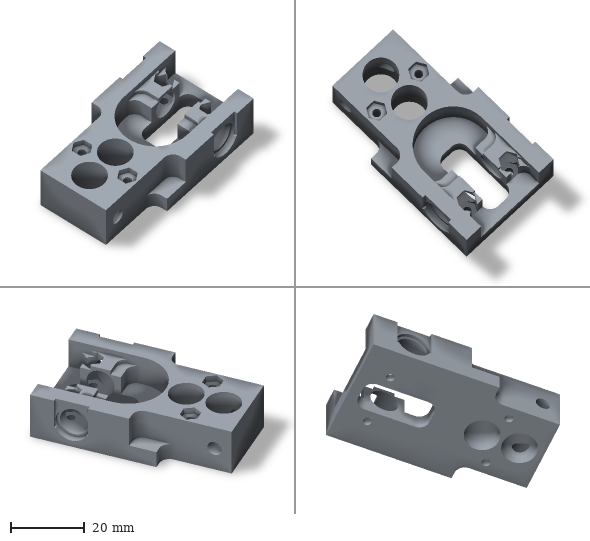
import cadquery as cq

width = 33.0
length = 57.0
height = 14.0
mid_height = height / 2
ledge_height = 5.0
corner_radius = 3.0

nose_width = 23.0
lower_shoulder_y = 20.0
upper_shoulder_y = 28.0

channel_width = 22.0
channel_front_y = 24.0
channel_radius = channel_width / 2
channel_center_y = channel_front_y + channel_radius

saddle_y = 45.0
saddle_length = 11.95
saddle_top = 10.7
crest_length = 6.0
crest_top = 12.1
saddle_flare_width = 22.2

slot_width = 9.0
slot_length = 21.0
slot_center_y = 43.4

bore_diameter = 8.2
seat_diameter = 10.0
seat_depth = 2.0
notch_depth = 1.0

nose_hole_diameter = 10.0
nose_hole_ys = (7.0, 18.0)
tip_hole_diameter = 4.2
tip_hole_y = 5.0

screw_diameter = 2.4
screw_x = 8.0
nut_across_corners = 5.9
rear_screw_y = 48.5
front_screw_y = 13.5
rear_nut_floor = 3.0
front_nut_floor = 12.0


def box(size_x, y_start, y_end, z_start, z_end):
    """Box centred on X = 0 between the given Y and Z limits."""
    return cq.Workplane("XY").box(
        size_x, y_end - y_start, z_end - z_start, centered=(True, False, False)
    ).translate((0, y_start, z_start))


def cylinder_x(diameter, y, z, size_x):
    """Cylinder parallel to X, centred on X = 0."""
    return cq.Workplane("YZ").center(y, z).circle(diameter / 2).extrude(size_x / 2, both=True)


def body_layer(shoulder_y, z_start, z_end):
    """T-shaped layer with a fillet in each inner corner of the shoulders."""
    nose = box(nose_width, 0, length, z_start, z_end)
    wings = box(width, shoulder_y, length, z_start, z_end)
    margin = corner_radius / 2
    inner_corners = cq.selectors.BoxSelector(
        (-nose_width / 2 - margin, shoulder_y - margin, z_start),
        (nose_width / 2 + margin, shoulder_y + margin, z_end),
    )
    return nose.union(wings).edges("|Z").edges(inner_corners).fillet(corner_radius)


def channel():
    """U-shaped channel volume from the floor to the top face."""
    straight = box(channel_width, channel_center_y, length, ledge_height, height)
    round_end = (
        cq.Workplane("XY", origin=(0, channel_center_y, ledge_height))
        .circle(channel_radius)
        .extrude(height - ledge_height)
    )
    return straight.union(round_end)


def saddle_step(step_length, top):
    """Saddle step whose ends flare out along the channel walls."""
    half = step_length / 2
    step = box(width, channel_front_y, length, ledge_height, top)
    for y_start, y_end in (
        (saddle_y - half - length, saddle_y - half),
        (saddle_y + half, saddle_y + half + length),
    ):
        clearance = box(saddle_flare_width, y_start, y_end, ledge_height, top)
        step = step.cut(clearance.edges("|Z").fillet(corner_radius))
    return step.intersect(channel())


def through_slot():
    """Rounded rectangular slot through the full height."""
    half = slot_length / 2
    slot = box(slot_width, slot_center_y - half, slot_center_y + half, 0, height)
    return slot.edges("|Z").fillet(corner_radius)


def side_recess(side):
    """Round seat around the cross bore, with a shallower notch open to the top face."""
    seat = cylinder_x(seat_diameter, saddle_y, mid_height, seat_depth).translate(
        (side * (width - seat_depth) / 2, 0, 0)
    )
    half = seat_diameter / 2
    notch = box(notch_depth, saddle_y - half, saddle_y + half, ledge_height, height).translate(
        (side * (width - notch_depth) / 2, 0, 0)
    )
    return seat.union(notch)


def nut_and_screw(x, y, nut_floor):
    """Screw hole through the block with a nut pocket open at the top."""
    screw = cq.Workplane("XY").center(x, y).circle(screw_diameter / 2).extrude(height)
    nut = (
        cq.Workplane("XY", origin=(x, y, nut_floor))
        .polygon(6, nut_across_corners)
        .extrude(height - nut_floor)
    )
    return screw.union(nut)


lower_layer = body_layer(lower_shoulder_y, 0, ledge_height)
upper_layer = body_layer(upper_shoulder_y, ledge_height, height)
result = lower_layer.union(upper_layer).cut(channel())
result = result.union(saddle_step(saddle_length, saddle_top))
result = result.union(saddle_step(crest_length, crest_top))
result = result.cut(through_slot())

result = result.cut(cylinder_x(bore_diameter, saddle_y, mid_height, width))
for side in (-1, 1):
    result = result.cut(side_recess(side))

for hole_y in nose_hole_ys:
    nose_hole = cq.Workplane("XY").center(0, hole_y).circle(nose_hole_diameter / 2).extrude(height)
    result = result.cut(nose_hole)
result = result.cut(cylinder_x(tip_hole_diameter, tip_hole_y, mid_height, width))

for screw_y, nut_floor in ((rear_screw_y, rear_nut_floor), (front_screw_y, front_nut_floor)):
    for side in (-1, 1):
        result = result.cut(nut_and_screw(side * screw_x, screw_y, nut_floor))